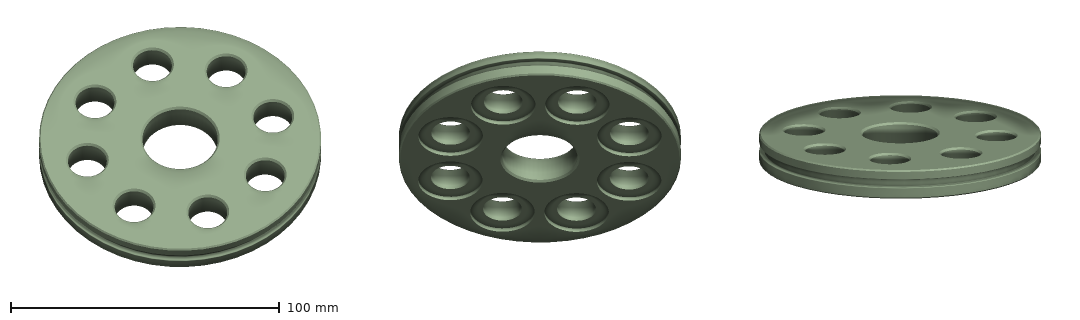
import cadquery as cq

disc_diameter = 105.0
disc_thickness = 11.0
rim_chamfer = 0.5

groove_floor_diameter = 101.0
groove_width = 3.2
groove_center_height = 5.9
groove_fillet = 0.2

bore_diameter = 28.0
bolt_hole_diameter = 14.5
bolt_counterbore_diameter = 24.0
bolt_counterbore_depth = 1.6
bolt_hole_count = 8
bolt_circle_diameter = 72.0
hole_chamfer = 0.7


def make_disc():
    """Disc standing on Z = 0 with chamfered rims."""
    disc = cq.Workplane("XY").circle(disc_diameter / 2).extrude(disc_thickness)
    return disc.edges().chamfer(rim_chamfer)


def cut_rim_groove(body):
    """Square groove with rounded lips and rounded floor corners."""
    groove_bottom = groove_center_height - groove_width / 2
    ring = (
        cq.Workplane("XY")
        .workplane(offset=groove_bottom)
        .circle(disc_diameter / 2)
        .circle(groove_floor_diameter / 2)
        .extrude(groove_width)
    )
    edge_margin = groove_width / 10
    groove_edges = cq.selectors.BoxSelector(
        (-disc_diameter, -disc_diameter, groove_bottom - edge_margin),
        (disc_diameter, disc_diameter, groove_bottom + groove_width + edge_margin),
        boundingbox=True,
    )
    return body.cut(ring).edges(groove_edges).edges("%CIRCLE").fillet(groove_fillet)


def hole_with_top_chamfer(diameter):
    """Cutter for a through hole with a chamfer at its top end."""
    radius = diameter / 2
    profile = [
        (0, 0),
        (radius, 0),
        (radius, disc_thickness - hole_chamfer),
        (radius + hole_chamfer, disc_thickness),
        (0, disc_thickness),
    ]
    return cq.Workplane("XZ").polyline(profile).close().revolve(360, (0, 0), (0, 1))


def bore_cutter():
    """Central bore, chamfered at both ends."""
    top_chamfered = hole_with_top_chamfer(bore_diameter)
    bottom_chamfered = top_chamfered.mirror("XY").translate((0, 0, disc_thickness))
    return top_chamfered.union(bottom_chamfered)


def bolt_hole_cutter():
    """Bolt hole with a shallow counterbore in the bottom face."""
    counterbore = (
        cq.Workplane("XY")
        .circle(bolt_counterbore_diameter / 2)
        .extrude(bolt_counterbore_depth)
    )
    return hole_with_top_chamfer(bolt_hole_diameter).union(counterbore)


result = cut_rim_groove(make_disc()).cut(bore_cutter())
bolt_hole = bolt_hole_cutter().translate((bolt_circle_diameter / 2, 0, 0))
for index in range(bolt_hole_count):
    angle = index * 360 / bolt_hole_count
    result = result.cut(bolt_hole.rotate((0, 0, 0), (0, 0, 1), angle))